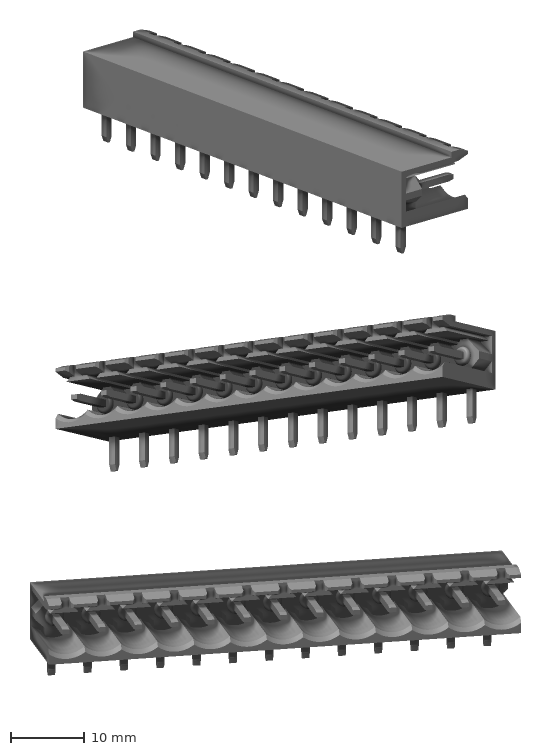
import cadquery as cq

length = 65.9
depth = 12.0
pole_count = 13
pitch = length / pole_count
pole_centres = [(i - (pole_count - 1) / 2) * pitch for i in range(pole_count)]

floor_top = 2.2
roof_bottom = 7.3
roof_top = 8.1
rear_wall = 0.8

latch_top = 8.9
latch_rear_y = 9.0
latch_crest_y = 10.4
latch_under_y = 10.2
nose_top = 8.4
nose_bottom = 7.9

notch_width = 1.25
notch_mouth_width = 1.85
lead_in = 0.5

trough_depth = 1.0
trough_radius = ((pitch / 2) ** 2 + trough_depth ** 2) / (2 * trough_depth)
trough_axis_z = floor_top - trough_depth + trough_radius

rail_bottom = 6.7
rail_root_width = 2.8
rail_foot_width = rail_root_width + 2 * (roof_bottom - rail_bottom)

pin_size = 1.0
pin_z = 4.3
pin_tip_y = 11.2
pin_tip_length = 0.85
pin_tip_size = 0.65
tail_y = 2.05
tail_bottom = -4.7
tail_tip_length = 0.85
tail_tip_size = 0.3

boss_front = 3.7
boss_side_height = 1.0
boss_top = 6.6
boss_shoulder = 2.6
boss_foot_inset = 1.3
boss_foot_width = pitch - 2 * boss_foot_inset
boss_top_inset = 1.85
boss_top_width = pitch - 2 * boss_top_inset
collar_radius = 1.3
collar_thickness = 0.85
collar_round = 0.4


def prism_along_y(section, y_start, y_end):
    """Extrude an XZ outline from y_start to y_end."""
    plane = cq.Workplane("XZ", origin=(0, y_start, 0))
    return plane.polyline(section).close().extrude(y_start - y_end)


def make_shell():
    """C-shaped housing section along the full length."""
    section = [
        (0, 0),
        (depth, 0),
        (depth, floor_top),
        (rear_wall, floor_top),
        (rear_wall, roof_bottom),
        (latch_under_y, roof_bottom),
        (depth, nose_bottom),
        (depth, nose_top),
        (latch_crest_y, latch_top),
        (latch_rear_y, latch_top),
        (latch_rear_y, roof_top),
        (0, roof_top),
    ]
    plane = cq.Workplane("YZ", origin=(-length / 2, 0, 0))
    return plane.polyline(section).close().extrude(length)


def make_trough():
    """Cylindrical floor trough that opens into a conical lead-in at the front."""
    section = [
        (0, rear_wall),
        (trough_radius, rear_wall),
        (trough_radius, depth - lead_in),
        (trough_radius + lead_in, depth),
        (0, depth),
    ]
    round_cut = cq.Workplane("XY").polyline(section).close().revolve(360, (0, 0), (0, 1))
    round_cut = round_cut.translate((0, 0, trough_axis_z))
    pole_bay = cq.Workplane("XY").box(pitch, depth, pin_z, centered=(True, False, False))
    return round_cut.intersect(pole_bay)


def make_notch():
    """Latch notch, flared at the front edge."""
    half = notch_width / 2
    half_mouth = notch_mouth_width / 2
    outline = [
        (-half, latch_under_y),
        (half, latch_under_y),
        (half, depth - lead_in),
        (half_mouth, depth),
        (-half_mouth, depth),
        (-half, depth - lead_in),
    ]
    plane = cq.Workplane("XY", origin=(0, 0, roof_bottom))
    return plane.polyline(outline).close().extrude(latch_top - roof_bottom)


def make_rail():
    """Rail under the roof, wider at its foot than at its root."""
    section = [
        (-rail_root_width / 2, roof_bottom),
        (-rail_foot_width / 2, rail_bottom),
        (rail_foot_width / 2, rail_bottom),
        (rail_root_width / 2, roof_bottom),
    ]
    return prism_along_y(section, rear_wall, latch_under_y)


def make_boss():
    """Faceted block on the rear wall that carries one contact."""
    foot_z = floor_top - trough_depth
    side_low = pin_z - boss_side_height / 2
    side_high = pin_z + boss_side_height / 2
    right_side = [
        (boss_foot_width / 2, foot_z),
        (boss_foot_width / 2, boss_shoulder),
        (pitch / 2, side_low),
        (pitch / 2, side_high),
        (boss_top_width / 2, boss_top),
        (boss_top_width / 2, rail_bottom),
    ]
    left_side = [(-x, z) for x, z in reversed(right_side)]
    return prism_along_y(right_side + left_side, rear_wall, boss_front)


def make_contact():
    """Collar and tapered blade pointing along +Y."""
    collar = cq.Workplane("XZ", origin=(0, boss_front, pin_z)).circle(collar_radius)
    collar = collar.extrude(-collar_thickness).edges().fillet(collar_round)
    blade_end = pin_tip_y - pin_tip_length
    outline = [
        (boss_front, pin_z - pin_size / 2),
        (blade_end, pin_z - pin_size / 2),
        (pin_tip_y, pin_z - pin_tip_size / 2),
        (pin_tip_y, pin_z + pin_tip_size / 2),
        (blade_end, pin_z + pin_size / 2),
        (boss_front, pin_z + pin_size / 2),
    ]
    plane = cq.Workplane("YZ", origin=(-pin_size / 2, 0, 0))
    return plane.polyline(outline).close().extrude(pin_size).union(collar)


def make_tail():
    """Solder tail below the housing, tapered in Y at its tip."""
    taper_top = tail_bottom + tail_tip_length
    outline = [
        (tail_y - pin_size / 2, 0),
        (tail_y - pin_size / 2, taper_top),
        (tail_y - tail_tip_size / 2, tail_bottom),
        (tail_y + tail_tip_size / 2, tail_bottom),
        (tail_y + pin_size / 2, taper_top),
        (tail_y + pin_size / 2, 0),
    ]
    plane = cq.Workplane("YZ", origin=(-pin_size / 2, 0, 0))
    return plane.polyline(outline).close().extrude(pin_size)


result = make_shell()
for cut_feature in (make_trough(), make_notch()):
    for x in pole_centres:
        result = result.cut(cut_feature.translate((x, 0, 0)))
for added_feature in (make_rail(), make_boss(), make_contact(), make_tail()):
    for x in pole_centres:
        result = result.union(added_feature.translate((x, 0, 0)))